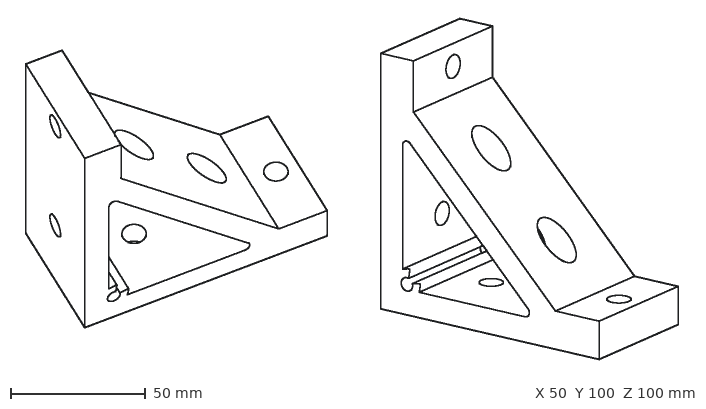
import cadquery as cq
import math

width = 50.0
leg_length = 100.0
end_thickness = 15.0
end_length = 20.0

plate_thickness = 10.0
brace_thickness = 10.0
window_fillet = 2.0

screw_diameter = 9.0
access_diameter = 14.4
outer_screw_position = 91.0
inner_screw_position = 32.5

relief_center = 12.0
relief_radius = 2.6
lip_root = 17.6
lip_tip_height = 13.4
lip_tip_along = 18.3
lip_mouth_height = 12.8
lip_mouth_along = 14.6
lip_fillet = 0.4


def prism(points):
    """Extrude a (y, z) polygon across the full width."""
    return cq.Workplane("YZ", origin=(-width / 2, 0, 0)).polyline(points).close().extrude(width)


def make_body():
    brace_end = leg_length - end_length
    return prism([
        (0, 0),
        (leg_length, 0),
        (leg_length, end_thickness),
        (brace_end, end_thickness),
        (end_thickness, brace_end),
        (end_thickness, leg_length),
        (0, leg_length),
    ])


def make_window():
    outer_sum = leg_length - end_length + end_thickness
    inner_sum = outer_sum - brace_thickness * math.sqrt(2)
    tip = inner_sum - plate_thickness
    window = prism([
        (plate_thickness, plate_thickness),
        (tip, plate_thickness),
        (plate_thickness, tip),
    ])
    acute_edges = window.edges("|X").edges(">Y or >Z")
    return acute_edges.fillet(window_fillet)


def make_corner_lips():
    """Corner filling whose two outer tips form lips, mirrored about y = z."""
    lip = [
        (lip_root, plate_thickness),
        (lip_tip_along, lip_tip_height),
        (lip_mouth_along, lip_mouth_height),
    ]
    mirrored_lip = [(z, y) for y, z in reversed(lip)]
    center = (relief_center, relief_center)
    corner = (plate_thickness, plate_thickness)
    filling = prism([corner] + lip + [center] + mirrored_lip)
    for y, z in ((lip_tip_along, lip_tip_height), (lip_tip_height, lip_tip_along)):
        around_tip = cq.selectors.BoxSelector(
            (-width, y - lip_fillet, z - lip_fillet),
            (width, y + lip_fillet, z + lip_fillet),
        )
        filling = filling.edges(around_tip).fillet(lip_fillet)
    return filling


def make_relief_bore():
    plane = cq.Workplane("YZ", origin=(-width / 2, 0, 0))
    return plane.center(relief_center, relief_center).circle(relief_radius).extrude(width)


def rod(diameter, direction, position, start, end):
    """Cylinder along Y or Z, at the given position on the other of those axes."""
    if direction == "Y":
        base = cq.Vector(0, start, position)
        axis = cq.Vector(0, 1, 0)
    else:
        base = cq.Vector(0, position, start)
        axis = cq.Vector(0, 0, 1)
    return cq.Workplane(cq.Solid.makeCylinder(diameter / 2, end - start, base, axis))


result = make_body().cut(make_window()).union(make_corner_lips()).cut(make_relief_bore())

for direction in ("Y", "Z"):
    outer_screw = rod(screw_diameter, direction, outer_screw_position, 0, end_thickness)
    inner_screw = rod(screw_diameter, direction, inner_screw_position, 0, plate_thickness)
    access = rod(access_diameter, direction, inner_screw_position, plate_thickness, leg_length)
    result = result.cut(outer_screw).cut(inner_screw).cut(access)